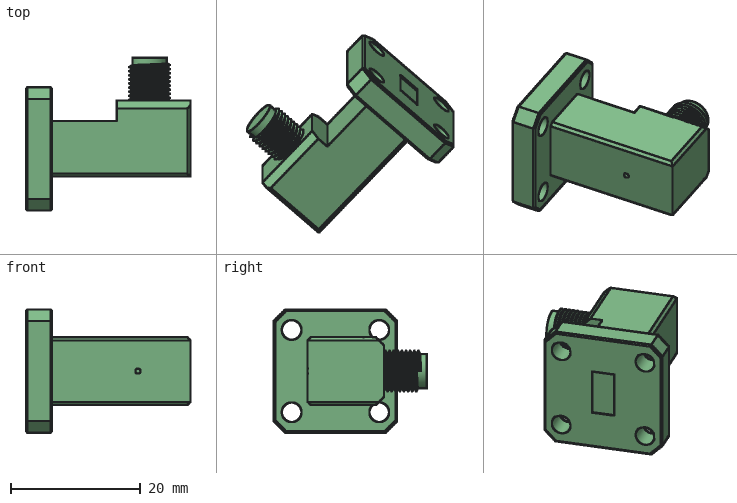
import cadquery as cq

LENGTH = 25.4

FLANGE_SIDE = 19.05
FLANGE_THICKNESS = 4.01
FLANGE_CORNER = 1.8
FLANGE_EDGE = 0.25
BOLT_HOLE_DIAMETER = 3.0
BOLT_SPACING_Y = 13.51
BOLT_SPACING_Z = 12.7

WINDOW_WIDTH = 3.55
WINDOW_HEIGHT = 7.1
WINDOW_DEPTH = 0.2

BODY_HEIGHT = 10.5
BODY_FRONT_Y = -4.3
NECK_BACK_Y = 4.35
BLOCK_BACK_Y = 7.5
BLOCK_START_X = 14.0
BODY_EDGE = 0.5
BLOCK_BACK_EDGE = 1.27

PIN_HOLE_X = 17.27
PIN_HOLE_DIAMETER = 0.8
PIN_HOLE_DEPTH = 1.02

CONNECTOR_X = 19.08
CONNECTOR_END_Y = 14.1
CONNECTOR_DIAMETER = 5.33
THREAD_DIAMETER = 6.3
THREAD_PITCH = 0.64
THREAD_BASE = 0.58
THREAD_TURNS = 9.25
THREAD_END_GAP = 1.15
ROOT_OVERLAP = 0.05


def make_flange():
    flange = (
        cq.Workplane("YZ")
        .rect(FLANGE_SIDE, FLANGE_SIDE)
        .extrude(FLANGE_THICKNESS)
        .edges("|X")
        .chamfer(FLANGE_CORNER)
        .faces("<X or >X")
        .edges()
        .chamfer(FLANGE_EDGE)
    )
    bolt_holes = (
        cq.Workplane("YZ")
        .rarray(BOLT_SPACING_Y, BOLT_SPACING_Z, 2, 2)
        .circle(BOLT_HOLE_DIAMETER / 2)
        .extrude(FLANGE_THICKNESS)
    )
    window = cq.Workplane("YZ").rect(WINDOW_WIDTH, WINDOW_HEIGHT).extrude(WINDOW_DEPTH)
    return flange.cut(bolt_holes).cut(window)


def make_body():
    outline = [
        (FLANGE_THICKNESS, BODY_FRONT_Y),
        (LENGTH, BODY_FRONT_Y),
        (LENGTH, BLOCK_BACK_Y),
        (BLOCK_START_X, BLOCK_BACK_Y),
        (BLOCK_START_X, NECK_BACK_Y),
        (FLANGE_THICKNESS, NECK_BACK_Y),
    ]
    body = cq.Workplane("XY").polyline(outline).close().extrude(BODY_HEIGHT / 2, both=True)

    body = body.faces("<Y").edges("|X").chamfer(BODY_EDGE)
    body = body.faces(">Y").edges("|X").chamfer(BLOCK_BACK_EDGE)
    half_height = BODY_HEIGHT / 2
    for side in (1, -1):
        end_wedge = (
            cq.Workplane("XZ", origin=(0, BODY_FRONT_Y, 0))
            .moveTo(LENGTH, side * half_height)
            .lineTo(LENGTH - BODY_EDGE, side * half_height)
            .lineTo(LENGTH, side * (half_height - BODY_EDGE))
            .close()
            .extrude(BODY_FRONT_Y - BLOCK_BACK_Y)
        )
        body = body.cut(end_wedge)

    pin_hole = (
        cq.Workplane("XZ", origin=(PIN_HOLE_X, BODY_FRONT_Y, 0))
        .circle(PIN_HOLE_DIAMETER / 2)
        .extrude(-PIN_HOLE_DEPTH)
    )
    return body.cut(pin_hole)


def make_thread():
    """Right-handed V ridge that starts on the +Z side and ends on the +X side of the connector."""
    length = THREAD_TURNS * THREAD_PITCH
    start_y = CONNECTOR_END_Y - THREAD_END_GAP - length
    root_radius = CONNECTOR_DIAMETER / 2 - ROOT_OVERLAP
    start = cq.Vector(CONNECTOR_X, start_y, 0)
    helix = cq.Wire.makeHelix(THREAD_PITCH, length, root_radius, center=start, dir=cq.Vector(0, 1, 0))
    ridge = (
        cq.Workplane("YZ", origin=(CONNECTOR_X, start_y, 0))
        .moveTo(-THREAD_BASE / 2, root_radius)
        .lineTo(0, THREAD_DIAMETER / 2)
        .lineTo(THREAD_BASE / 2, root_radius)
        .close()
    )
    return ridge.sweep(cq.Workplane(helix), isFrenet=True)


def make_connector():
    return (
        cq.Workplane("XZ", origin=(CONNECTOR_X, BLOCK_BACK_Y, 0))
        .circle(CONNECTOR_DIAMETER / 2)
        .extrude(BLOCK_BACK_Y - CONNECTOR_END_Y)
    )


result = make_flange().union(make_body()).union(make_connector()).union(make_thread())